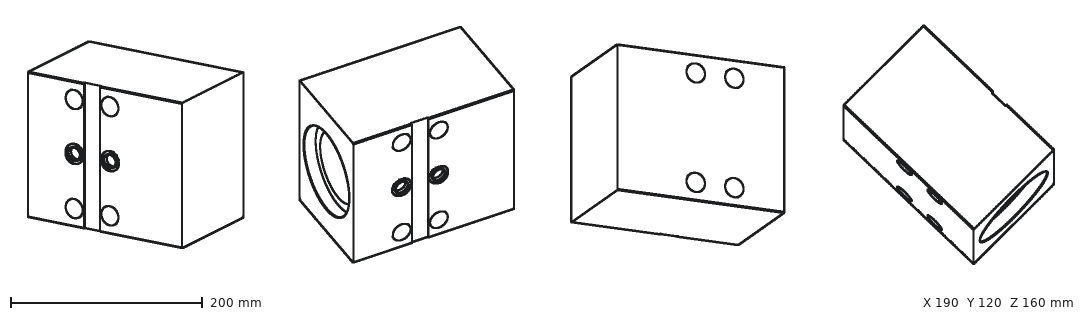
import cadquery as cq

LENGTH = 190.0
WIDTH = 120.0
HEIGHT = 160.0
EDGE_CHAMFER = 1.0

BORE_DIAMETER = 80.0
END_WALL = 30.0
RECESS_DIAMETER = 100.0
RECESS_DEPTH = 14.0
RECESS_CHAMFER = 0.7

SLOT_CENTER_FROM_END = 79.0
SLOT_WIDTH = 20.0
SLOT_DEPTH = 2.0

COLUMN_SPACING = 44.0
BOLT_HOLE_DIAMETER = 21.0
BOLT_HOLE_SPACING = 120.0

GROOVE_OUTER_DIAMETER = 22.0
GROOVE_INNER_DIAMETER = 15.5
GROOVE_DEPTH = 1.4
PORT_DIAMETER = 14.0
PORT_DEPTH = 5.0

LEFT_FACE_X = -LENGTH / 2
FRONT_FACE_Y = -WIDTH / 2
SLOT_CENTER_X = LEFT_FACE_X + SLOT_CENTER_FROM_END
COLUMN_POSITIONS = (SLOT_CENTER_X - COLUMN_SPACING / 2, SLOT_CENTER_X + COLUMN_SPACING / 2)


def make_block():
    """Block with its four long edges chamfered."""
    return cq.Workplane("XY").box(LENGTH, WIDTH, HEIGHT).edges("|X").chamfer(EDGE_CHAMFER)


def cylinder_along_x(start_x, diameter, depth):
    """Cylinder on the bore axis running from start_x toward +X."""
    return cq.Workplane("YZ", origin=(start_x, 0, 0)).circle(diameter / 2).extrude(depth)


def cylinder_along_y(x, z, start_y, diameter, depth):
    """Cylinder running from start_y toward +Y."""
    return cq.Workplane("XZ", origin=(x, start_y, z)).circle(diameter / 2).extrude(-depth)


def make_bore():
    """Main bore with a wider recess and a chamfered mouth."""
    bore = cylinder_along_x(LEFT_FACE_X, BORE_DIAMETER, LENGTH - END_WALL)
    recess = cylinder_along_x(LEFT_FACE_X, RECESS_DIAMETER, RECESS_DEPTH)
    recess_radius = RECESS_DIAMETER / 2
    mouth_center = cq.Vector(LEFT_FACE_X, 0, 0)
    inward = cq.Vector(1, 0, 0)
    mouth = cq.Solid.makeCone(
        recess_radius + RECESS_CHAMFER, recess_radius, RECESS_CHAMFER, mouth_center, inward
    )
    return bore.union(recess).union(cq.Workplane(mouth))


def make_slot():
    """Rectangular slot running the full height of the -Y face."""
    slot = cq.Workplane("XY").box(SLOT_WIDTH, SLOT_DEPTH, HEIGHT)
    return slot.translate((SLOT_CENTER_X, FRONT_FACE_Y + SLOT_DEPTH / 2, 0))


def make_bolt_hole(x, z):
    """Plain hole through the full width."""
    return cylinder_along_y(x, z, FRONT_FACE_Y, BOLT_HOLE_DIAMETER, WIDTH)


def make_port(x):
    """Blind port with a thin rim left standing between it and its seal groove."""
    groove = cylinder_along_y(x, 0, FRONT_FACE_Y, GROOVE_OUTER_DIAMETER, GROOVE_DEPTH)
    rim = cylinder_along_y(x, 0, FRONT_FACE_Y, GROOVE_INNER_DIAMETER, GROOVE_DEPTH)
    port = cylinder_along_y(x, 0, FRONT_FACE_Y, PORT_DIAMETER, PORT_DEPTH)
    return groove.cut(rim).union(port)


result = make_block().cut(make_bore()).cut(make_slot())
for column_x in COLUMN_POSITIONS:
    for bolt_z in (-BOLT_HOLE_SPACING / 2, BOLT_HOLE_SPACING / 2):
        result = result.cut(make_bolt_hole(column_x, bolt_z))
    result = result.cut(make_port(column_x))